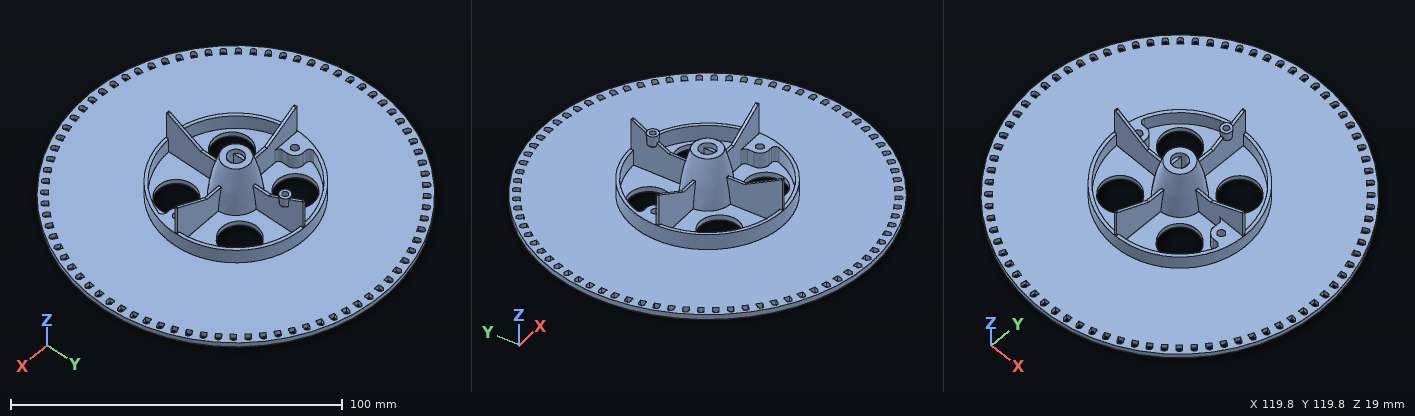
import cadquery as cq
import math

disc_radius = 59.9
disc_thickness = 1.9
slot_count = 80
slot_width = 1.9
slot_inner_radius = 56.4
slot_outer_radius = 58.8

ring_outer_radius = 27.7
ring_wall = 1.2
ring_inner_radius = ring_outer_radius - ring_wall
ring_top = 7.5

opening_radius = 7.1
opening_offset = 12.7

total_height = 19.0
hub_base_radius = 8.6
hub_middle_radius = 6.8
hub_middle_height = 13.3
hub_top_radius = 5.1

bore_radius = 2.9
bore_flat_spacing = 3.4
bore_round_depth = 1.9
bore_floor = disc_thickness

rib_thickness = 1.0
rib_end_radius = 27.3
rib_peak_radius = 26.8
rib_peak_height = 18.8
rib_saddle_radius = 13.6
rib_saddle_height = 11.5

pin_offset = 19.8
pin_top_radius = 2.0
pin_top = 16.6
pin_shoulder = 12.7
pin_shoulder_radius = 1.8
pin_tip = 11.5
pin_tip_radius = 0.6
pin_hole_radius = 1.02

lug_hole_x = 22.0
lug_hole_y = 4.3
lug_hole_radius = 1.3
lug_corner_radius = 3.2
lug_fillet = 1.4


def make_disc():
    return cq.Workplane("XY").circle(disc_radius).extrude(disc_thickness)


def make_ring():
    ring = cq.Workplane("XY").circle(ring_outer_radius).circle(ring_inner_radius)
    return ring.extrude(ring_top)


def make_hub():
    return (
        cq.Workplane("XZ")
        .lineTo(hub_base_radius, 0)
        .lineTo(hub_base_radius, disc_thickness)
        .threePointArc((hub_middle_radius, hub_middle_height), (hub_top_radius, total_height))
        .lineTo(0, total_height)
        .close()
        .revolve(360, (0, 0, 0), (0, 1, 0))
    )


def make_rib_pair():
    """One wall across the ring, dipping to a saddle on both sides of the hub."""
    return (
        cq.Workplane("XZ")
        .moveTo(-rib_end_radius, 0)
        .lineTo(-rib_end_radius, rib_peak_height)
        .lineTo(-rib_peak_radius, rib_peak_height)
        .lineTo(-rib_saddle_radius, rib_saddle_height)
        .lineTo(rib_saddle_radius, rib_saddle_height)
        .lineTo(rib_peak_radius, rib_peak_height)
        .lineTo(rib_end_radius, rib_peak_height)
        .lineTo(rib_end_radius, 0)
        .close()
        .extrude(rib_thickness / 2, both=True)
    )


def make_pin():
    pin = (
        cq.Workplane("XZ")
        .moveTo(0, pin_tip)
        .lineTo(pin_tip_radius, pin_tip)
        .lineTo(pin_shoulder_radius, pin_shoulder)
        .lineTo(pin_top_radius, pin_top)
        .lineTo(0, pin_top)
        .close()
        .revolve(360, (0, 0, 0), (0, 1, 0))
    )
    return pin.translate((0, pin_offset, 0))


def make_pin_hole():
    hole = cq.Workplane("XY", origin=(0, pin_offset, pin_shoulder))
    return hole.circle(pin_hole_radius).extrude(pin_top - pin_shoulder)


def make_lug():
    """Lug beside the -X rib: rounded corner about its hole, blended into rib and ring wall."""
    side_x = -lug_hole_x + lug_corner_radius
    top_y = lug_hole_y + lug_corner_radius
    diagonal = math.sqrt(0.5)
    rib_face = rib_thickness / 2

    rib_blend_x = side_x + lug_fillet
    rib_blend_y = rib_face + lug_fillet

    ring_blend_distance = ring_inner_radius - lug_fillet
    ring_blend_y = top_y + lug_fillet
    ring_blend_x = -math.sqrt(ring_blend_distance**2 - ring_blend_y**2)
    ring_touch_scale = ring_inner_radius / ring_blend_distance
    ring_touch = (ring_blend_x * ring_touch_scale, ring_blend_y * ring_touch_scale)
    touch_angle = math.atan2(ring_blend_y, ring_blend_x)
    blend_middle_angle = (touch_angle + 1.5 * math.pi) / 2
    ring_blend_middle = (
        ring_blend_x + lug_fillet * math.cos(blend_middle_angle),
        ring_blend_y + lug_fillet * math.sin(blend_middle_angle),
    )

    wall_middle = ring_inner_radius + ring_wall / 2
    wall_scale = wall_middle / ring_inner_radius
    wall_start = (ring_touch[0] * wall_scale, ring_touch[1] * wall_scale)
    wall_mid_angle = (touch_angle + math.pi) / 2

    return (
        cq.Workplane("XY")
        .moveTo(rib_blend_x, 0)
        .lineTo(rib_blend_x, rib_face)
        .threePointArc(
            (rib_blend_x - lug_fillet * diagonal, rib_blend_y - lug_fillet * diagonal),
            (side_x, rib_blend_y),
        )
        .lineTo(side_x, lug_hole_y)
        .threePointArc(
            (-lug_hole_x + lug_corner_radius * diagonal, lug_hole_y + lug_corner_radius * diagonal),
            (-lug_hole_x, top_y),
        )
        .lineTo(ring_blend_x, top_y)
        .threePointArc(ring_blend_middle, ring_touch)
        .lineTo(*wall_start)
        .threePointArc(
            (wall_middle * math.cos(wall_mid_angle), wall_middle * math.sin(wall_mid_angle)),
            (-wall_middle, 0),
        )
        .close()
        .extrude(ring_top)
    )


def make_lug_holes():
    centres = [(-lug_hole_x, lug_hole_y), (lug_hole_x, -lug_hole_y)]
    return cq.Workplane("XY").pushPoints(centres).circle(lug_hole_radius).extrude(ring_top)


def make_openings():
    spacing = 2 * opening_offset
    openings = cq.Workplane("XY").rarray(spacing, spacing, 2, 2).circle(opening_radius)
    return openings.extrude(disc_thickness)


def make_bore():
    round_floor = total_height - bore_round_depth
    mouth = cq.Workplane("XY", origin=(0, 0, round_floor)).circle(bore_radius).extrude(bore_round_depth)
    socket_depth = round_floor - bore_floor
    socket = cq.Workplane("XY", origin=(0, 0, bore_floor)).circle(bore_radius).extrude(socket_depth)
    flats = (
        cq.Workplane("XY", origin=(0, 0, bore_floor))
        .rect(bore_flat_spacing, 2 * bore_radius)
        .extrude(socket_depth)
    )
    return mouth.union(socket.intersect(flats))


def cut_slots(body):
    """Cut the rim slots: flat toward the centre, round toward the rim."""
    half_width = slot_width / 2
    round_start = slot_outer_radius - half_width
    slot = (
        cq.Workplane("XY")
        .moveTo(slot_inner_radius, -half_width)
        .lineTo(round_start, -half_width)
        .threePointArc((slot_outer_radius, 0), (round_start, half_width))
        .lineTo(slot_inner_radius, half_width)
        .close()
        .extrude(disc_thickness)
        .val()
    )
    pitch = 360 / slot_count
    slots = [slot.rotate(cq.Vector(0, 0, 0), cq.Vector(0, 0, 1), i * pitch) for i in range(slot_count)]
    return body.cut(cq.Workplane("XY").newObject([cq.Compound.makeCompound(slots)]))


def turned(shape, angle):
    return shape.rotate((0, 0, 0), (0, 0, 1), angle)


disc = cut_slots(make_disc())
disc = disc.cut(make_openings())

rib_pair = make_rib_pair()
lug = make_lug()

result = disc.union(make_ring()).union(make_hub())
result = result.union(rib_pair).union(turned(rib_pair, 90))
result = result.union(lug).union(turned(lug, 180))
result = result.cut(make_lug_holes()).cut(make_bore())
result = result.union(make_pin()).cut(make_pin_hole())